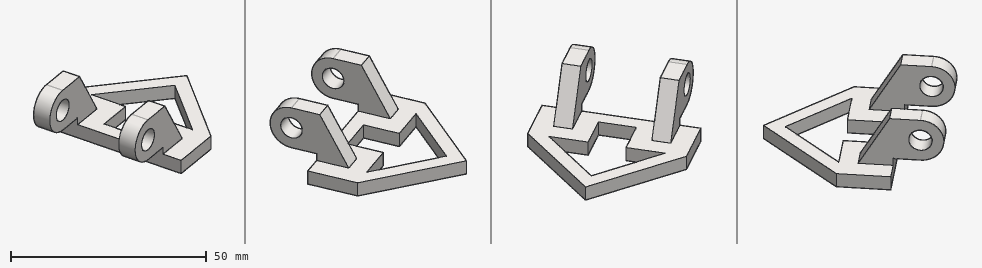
import cadquery as cq
import math

width = 42.0
length = 48.0
height = 18.0

plate_thickness = 4.0
frame_wall = 4.0
lug_reach = 13.0
plate_length = length - lug_reach
shoulder_y = plate_length - width / 2

window_half_width = width / 2 - frame_wall * math.sqrt(2)
window_apex_y = shoulder_y + window_half_width
slot_width = 10.0
slot_front_y = 4.0

lug_thickness = 5.0
lug_inset = 5.5
hole_diameter = 6.0
eye_radius = 6.0
eye_y = eye_radius - lug_reach
eye_z = height - eye_radius
lug_top_back_y = 0.9
back_slope_from_vertical = 30.0
back_slope_run = (height - plate_thickness) * math.tan(math.radians(back_slope_from_vertical))
lug_foot_y = lug_top_back_y + back_slope_run


def make_plate():
    outline = [
        (-width / 2, 0),
        (width / 2, 0),
        (width / 2, shoulder_y),
        (0, plate_length),
        (-width / 2, shoulder_y),
    ]
    return cq.Workplane("XY").polyline(outline).close().extrude(plate_thickness)


def make_window():
    outline = [
        (-slot_width / 2, slot_front_y),
        (slot_width / 2, slot_front_y),
        (slot_width / 2, shoulder_y),
        (window_half_width, shoulder_y),
        (0, window_apex_y),
        (-window_half_width, shoulder_y),
        (-slot_width / 2, shoulder_y),
    ]
    return cq.Workplane("XY").polyline(outline).close().extrude(plate_thickness)


def make_lug(left_x):
    """Lug profile in the YZ plane, with a rounded, bored eye at the front."""
    blank = (
        cq.Workplane("YZ", origin=(left_x, 0, 0))
        .moveTo(0, plate_thickness)
        .lineTo(lug_foot_y, plate_thickness)
        .lineTo(lug_top_back_y, height)
        .lineTo(eye_y, height)
        .threePointArc((-lug_reach, eye_z), (eye_y, eye_z - eye_radius))
        .lineTo(0, eye_z - eye_radius)
        .close()
        .extrude(lug_thickness)
    )
    bore = (
        cq.Workplane("YZ", origin=(left_x, 0, 0))
        .center(eye_y, eye_z)
        .circle(hole_diameter / 2)
        .extrude(lug_thickness)
    )
    return blank.cut(bore)


result = make_plate().cut(make_window())
left_lug_x = -width / 2 + lug_inset
right_lug_x = width / 2 - lug_inset - lug_thickness
for lug_x in (left_lug_x, right_lug_x):
    result = result.union(make_lug(lug_x))